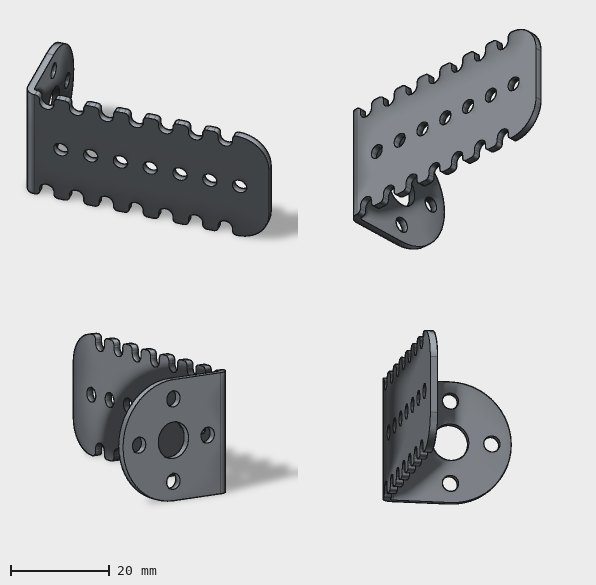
import cadquery as cq

arm_length = 52.25
flange_length = 26.5
width = 25.0
thickness = 1.5
bend_outer_radius = 2.25
bend_inner_radius = bend_outer_radius - thickness

arm_corner_radius = 6.75
arm_hole_count = 7
arm_hole_diameter = 3.05
first_hole_x = 7.85
last_hole_x = 45.95
hole_pitch = (last_hole_x - first_hole_x) / (arm_hole_count - 1)

notch_width = 3.05
notch_depth = 3.05
notch_to_hole = 3.05
notch_mouth_radius = 1.0

flange_end_radius = width / 2
flange_center_y = flange_length - flange_end_radius
bore_diameter = 7.5
mount_hole_diameter = 3.3
mount_circle_radius = 8.5
mount_hole_count = 4

arm_hole_xs = [first_hole_x + i * hole_pitch for i in range(arm_hole_count)]


def bent_sheet():
    """L-shaped sheet of constant thickness with a rounded bend."""
    return (
        cq.Workplane("XY")
        .moveTo(0, 0)
        .lineTo(arm_length, 0)
        .lineTo(arm_length, thickness)
        .lineTo(thickness, thickness)
        .lineTo(thickness, flange_length)
        .lineTo(0, flange_length)
        .close()
        .extrude(width / 2, both=True)
        .edges(cq.selectors.NearestToPointSelector((0, 0, 0)))
        .fillet(bend_outer_radius)
        .edges(cq.selectors.NearestToPointSelector((thickness, thickness, 0)))
        .fillet(bend_inner_radius)
    )


def through_arm(sketch_plane):
    """Extrude an XZ outline across the full thickness of the arm."""
    return sketch_plane.extrude(-thickness)


def notch_cutter(center_x):
    """Round-bottomed notch in the top edge, with its mouth widened by two fillet arcs."""
    half = notch_width / 2
    edge_z = width / 2
    bottom_z = edge_z - notch_depth
    mouth_half = half + notch_mouth_radius
    outline = (
        cq.Workplane("XZ")
        .moveTo(center_x - mouth_half, edge_z)
        .radiusArc((center_x - half, edge_z - notch_mouth_radius), notch_mouth_radius)
        .lineTo(center_x - half, bottom_z + half)
        .threePointArc((center_x, bottom_z), (center_x + half, bottom_z + half))
        .lineTo(center_x + half, edge_z - notch_mouth_radius)
        .radiusArc((center_x + mouth_half, edge_z), notch_mouth_radius)
        .close()
    )
    return through_arm(outline)


def arm_holes():
    """Row of holes along the centerline of the arm."""
    centers = [(x, 0) for x in arm_hole_xs]
    return through_arm(cq.Workplane("XZ").pushPoints(centers).circle(arm_hole_diameter / 2))


def flange_holes():
    """Central bore and its ring of mounting holes."""
    plane = cq.Workplane("YZ").center(flange_center_y, 0)
    bore = plane.circle(bore_diameter / 2).extrude(thickness)
    mounts = (
        plane.polarArray(mount_circle_radius, 0, 360, mount_hole_count)
        .circle(mount_hole_diameter / 2)
        .extrude(thickness)
    )
    return bore.union(mounts)


def flange_end():
    """Envelope that rounds the end of the flange and leaves the rest of the part whole."""
    disc = (
        cq.Workplane("YZ")
        .center(flange_center_y, 0)
        .circle(flange_end_radius)
        .extrude(thickness)
    )
    body = cq.Workplane("XY").box(arm_length, flange_center_y, width, centered=(False, False, True))
    return body.union(disc)


result = bent_sheet().edges("|Y and >X").fillet(arm_corner_radius)
result = result.intersect(flange_end())
result = result.cut(arm_holes()).cut(flange_holes())

for hole_x in arm_hole_xs:
    notch = notch_cutter(hole_x - notch_to_hole)
    result = result.cut(notch).cut(notch.mirror("XY"))